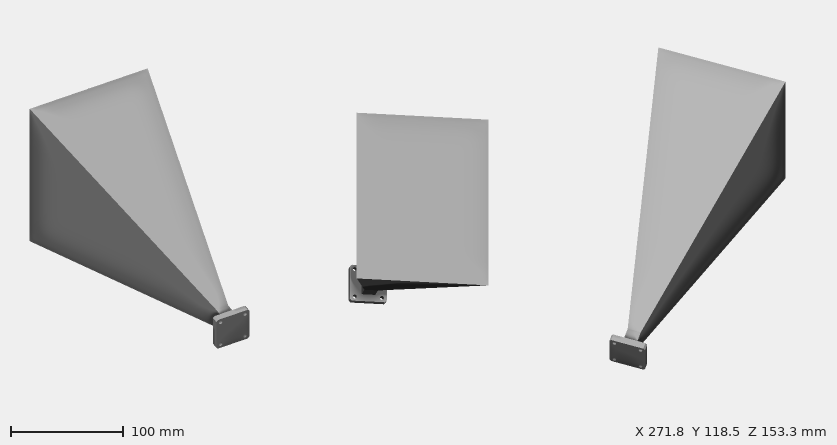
import cadquery as cq

total_length = 271.8
mouth_width = 118.5
mouth_height = 153.3

neck_length = 13.9
neck_width = 12.2
neck_height = 20.5

flange_size = 33.2
flange_thickness = 6.3
flange_corner_chamfer = 1.5
hole_spacing_y = 24.5
hole_spacing_z = 25.3
hole_diameter = 3.5

flange_start = total_length - flange_thickness
flare_length = flange_start - neck_length


def make_flare():
    """Solid rectangular pyramid frustum from the mouth to the neck."""
    return (
        cq.Workplane("YZ")
        .rect(mouth_width, mouth_height)
        .workplane(offset=flare_length)
        .rect(neck_width, neck_height)
        .loft(ruled=True)
    )


def make_neck():
    """Straight rectangular bar joining the flare to the flange."""
    return (
        cq.Workplane("YZ", origin=(flare_length, 0, 0))
        .rect(neck_width, neck_height)
        .extrude(neck_length)
    )


def make_flange():
    """Square plate with chamfered corners and four through holes."""
    plate = (
        cq.Workplane("YZ", origin=(flange_start, 0, 0))
        .rect(flange_size, flange_size)
        .extrude(flange_thickness)
        .edges("|X")
        .chamfer(flange_corner_chamfer)
    )
    return (
        plate.faces(">X")
        .workplane(origin=(total_length, 0, 0))
        .rect(hole_spacing_y, hole_spacing_z, forConstruction=True)
        .vertices()
        .hole(hole_diameter)
    )


result = make_flare().union(make_neck()).union(make_flange())